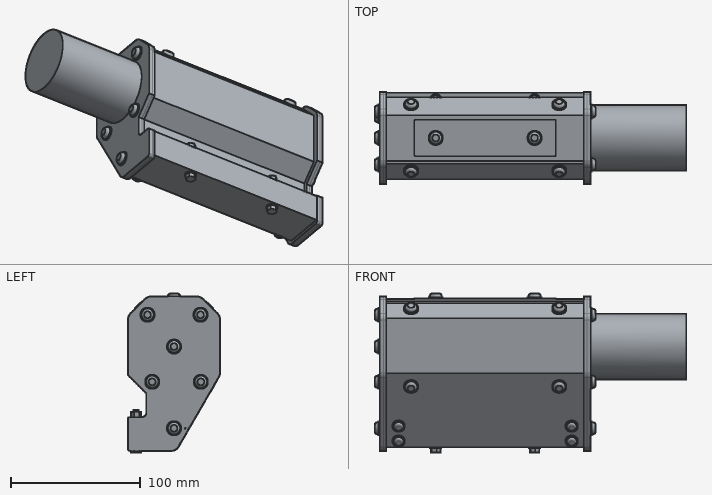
import cadquery as cq
import math

overall_length = 240.1
screw_height = 3.8
housing_length = 162.5
outer_sheet = 3.0
inner_sheet = 2.5

plate_half_width = 35.5
plate_top = 38.7
plate_bottom = -80.5
plate_chamfer = 15.1
plate_shoulder = -21.9
notch_wall = 21.4
notch_floor = -54.3
plate_corner_radius = 7.0
notch_radius = 3.5
foot_top_radius = 1.2
foot_bottom_radius = 2.0
slope_angle = 30

body_front = -32.0
body_rear = 31.2
body_top = 36.7
body_bottom = -77.5
body_gap = 3.1
ridge_half_width = 17.5
sheet_step = 0.5
front_lip = 2.5
front_lip_height = 33.4
ridge_joint_height = 34.8
front_fold_height = 21.9
front_shoulder = -20.7
foot_gap = 0.7

cover_length = 109.0
cover_width = 28.3
cover_thickness = 0.5
cover_corner_radius = 1.2

tube_diameter = 51.0

washer_thickness = 1.0
large_washer, large_head, large_flat = 11.0, 9.5, 5.3
small_washer, small_head, small_flat = 9.5, 7.7, 4.0
small_screw_height = 3.1
seat_depth = 1.2

end_screws = [(20.5, 24.5), (-20.5, 24.5), (16.8, -27.1), (-20.7, -27.1), (0, -63.0)]
corner_screw_inset = 24.3
small_screw_inset = 14.6
bolt_inset = 43.2
corner_screw_y = 25.2
slope_screw_height = -30.5
small_screw_heights = (-61.0, -72.5)

bolt_y = 29.3
hex_across_flats = 7.0
hex_turn = -20
bolt_washer = 9.0
bolt_washer_thickness = 0.7
bolt_head_height = 3.4
nut_height = 4.0
bolt_diameter = 4.0
bolt_end_height = 1.5

slope = math.tan(math.radians(slope_angle))
slope_normal = (0, -math.cos(math.radians(slope_angle)), -math.sin(math.radians(slope_angle)))
plate_thickness = outer_sheet + inner_sheet
foot_top = notch_floor - foot_gap
foot_rear = plate_half_width - foot_gap
body_notch_wall = notch_wall - body_gap


def mirrored_places(inset):
    """X places at equal distance from both ends of the housing."""
    return (inset, housing_length - inset)


def prism(points, start, length):
    """Extrude a closed Y-Z outline along +X."""
    return cq.Workplane("YZ", origin=(start, 0, 0)).polyline(points).close().extrude(length)


def front_slope_y(height):
    """Y of the sloped front face of the body at a given height."""
    return body_front + (front_shoulder - height) * slope


def end_sheet(start, thickness):
    """One sheet of an end plate, with its left face at the start place."""
    chamfer_y = plate_half_width - plate_chamfer
    chamfer_z = plate_top - plate_chamfer
    notch_top = plate_shoulder - (plate_half_width - notch_wall)
    slope_end = -plate_half_width + (plate_shoulder - plate_bottom) * slope
    rounded_points = [
        (-plate_half_width, chamfer_z, plate_corner_radius),
        (-chamfer_y, plate_top, plate_corner_radius),
        (chamfer_y, plate_top, plate_corner_radius),
        (plate_half_width, chamfer_z, plate_corner_radius),
        (plate_half_width, plate_shoulder, 0),
        (notch_wall, notch_top, 0),
        (notch_wall, notch_floor, notch_radius),
        (plate_half_width, notch_floor, foot_top_radius),
        (plate_half_width, plate_bottom, foot_bottom_radius),
        (slope_end, plate_bottom, plate_corner_radius),
        (-plate_half_width, plate_shoulder, plate_corner_radius),
    ]
    sheet = prism([(y, z) for y, z, _ in rounded_points], start, thickness)
    for y, z, radius in rounded_points:
        if radius > 0:
            corner = cq.selectors.NearestToPointSelector((start + thickness / 2, y, z))
            sheet = sheet.edges("|X").edges(corner).fillet(radius)
    return sheet


def body():
    rear_fold = body_top - (body_rear - ridge_half_width)
    rear_shoulder = plate_shoulder + body_gap * math.tan(math.radians(45 / 2))
    points = [
        (body_front, front_shoulder),
        (body_front, front_fold_height),
        (-ridge_half_width - front_lip, front_lip_height),
        (-ridge_half_width - sheet_step, front_lip_height),
        (-ridge_half_width - sheet_step, ridge_joint_height),
        (-ridge_half_width, ridge_joint_height),
        (-ridge_half_width, body_top),
        (ridge_half_width, body_top),
        (body_rear, rear_fold),
        (body_rear, rear_shoulder),
        (body_notch_wall, rear_shoulder - (body_rear - body_notch_wall)),
        (body_notch_wall, foot_top),
        (foot_rear, foot_top),
        (foot_rear, body_bottom),
        (front_slope_y(body_bottom), body_bottom),
    ]
    return prism(points, plate_thickness, housing_length - 2 * plate_thickness)


def cover_plate():
    return (
        cq.Workplane("XY", origin=(housing_length / 2, 0, body_top))
        .rect(cover_length, cover_width)
        .extrude(cover_thickness)
        .edges("|Z")
        .fillet(cover_corner_radius)
    )


def tube():
    length = overall_length - screw_height - housing_length
    return cq.Workplane("YZ", origin=(housing_length, 0, 0)).circle(tube_diameter / 2).extrude(length)


def button_screw(seat, normal, washer, head, flat, height):
    """Domed head on a washer, standing on a face at the seat point."""
    dome_width = (head - flat) / 2
    dome_height = height - washer_thickness
    bulge = math.sqrt(0.5)
    arc_middle = (flat / 2 + dome_width * bulge, washer_thickness + dome_height * bulge)
    profile = (
        cq.Workplane("XY")
        .moveTo(0, -seat_depth)
        .lineTo(washer / 2, -seat_depth)
        .lineTo(washer / 2, washer_thickness)
        .lineTo(head / 2, washer_thickness)
        .threePointArc(arc_middle, (flat / 2, height))
        .lineTo(0, height)
        .close()
    )
    screw = profile.revolve(360, (0, 0, 0), (0, 1, 0)).rotate((0, 0, 0), (1, 0, 0), 90)
    plane = cq.Plane(origin=seat, normal=normal)
    return cq.Workplane("XY").add(screw.val().moved(cq.Location(plane)))


def large_screw(seat, normal):
    return button_screw(seat, normal, large_washer, large_head, large_flat, screw_height)


def small_screw(seat, normal):
    return button_screw(seat, normal, small_washer, small_head, small_flat, small_screw_height)


def hexagon(x, start, height):
    """Hexagonal prism on the bolt axis, grown from the start height."""
    across_corners = hex_across_flats / math.cos(math.radians(30))
    return (
        cq.Workplane("XY", origin=(x, bolt_y, start))
        .transformed(rotate=(0, 0, hex_turn))
        .polygon(6, across_corners)
        .extrude(height)
    )


def disc(x, start, diameter, height):
    return cq.Workplane("XY", origin=(x, bolt_y, start)).circle(diameter / 2).extrude(height)


def foot_bolt(x):
    """Hexagon head under the foot, nut and bolt end above it, each with a washer."""
    nut_seat = foot_top + bolt_washer_thickness
    head_seat = body_bottom - bolt_washer_thickness
    return [
        disc(x, foot_top, bolt_washer, bolt_washer_thickness),
        hexagon(x, nut_seat, nut_height),
        disc(x, nut_seat + nut_height, bolt_diameter, bolt_end_height),
        disc(x, body_bottom, bolt_washer, -bolt_washer_thickness),
        hexagon(x, head_seat, -bolt_head_height),
    ]


def fasteners():
    parts = [large_screw((0, 0, 0), (-1, 0, 0))]
    for y, z in end_screws:
        parts.append(large_screw((0, y, z), (-1, 0, 0)))
        parts.append(large_screw((housing_length, y, z), (1, 0, 0)))

    corner_screw_z = body_top + ridge_half_width - corner_screw_y
    for x in mirrored_places(corner_screw_inset):
        for side in (-1, 1):
            parts.append(large_screw((x, side * corner_screw_y, corner_screw_z), (0, side, 1)))
        slope_seat = (x, front_slope_y(slope_screw_height), slope_screw_height)
        parts.append(large_screw(slope_seat, slope_normal))

    for x in mirrored_places(small_screw_inset):
        for z in small_screw_heights:
            parts.append(small_screw((x, front_slope_y(z), z), slope_normal))

    for x in mirrored_places(bolt_inset):
        parts.append(large_screw((x, 0, body_top + cover_thickness), (0, 0, 1)))
        parts.extend(foot_bolt(x))
    return parts


result = body()
main_parts = [
    end_sheet(0, outer_sheet),
    end_sheet(outer_sheet, inner_sheet),
    end_sheet(housing_length - plate_thickness, inner_sheet),
    end_sheet(housing_length - outer_sheet, outer_sheet),
    cover_plate(),
    tube(),
]
for part in main_parts + fasteners():
    result = result.union(part, clean=False)